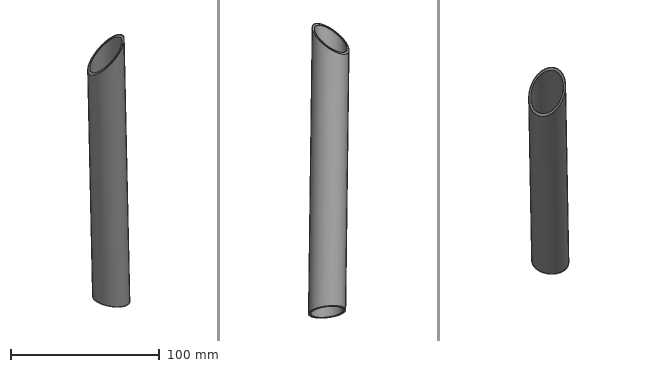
import cadquery as cq
import math

OUTER_DIAMETER = 25.0
WALL = 1.5
INNER_DIAMETER = OUTER_DIAMETER - 2 * WALL

LEAN_SLOPE = 0.02
LEAN_ANGLE = math.degrees(math.atan(LEAN_SLOPE))

OVERALL_HEIGHT = 200.67
TOP_CUT_ANGLE = 45.0
BOTTOM_CUT_ANGLE = 10.0


def back_wall_y(z):
    """Y of the outermost back wall (+Y) at height z."""
    half_width = OUTER_DIAMETER / 2 / math.cos(math.radians(LEAN_ANGLE))
    return half_width - LEAN_SLOPE * z


def leaning_cylinder(diameter):
    """Cylinder along the leaning axis, long enough to pass both cut ends."""
    overrun = OUTER_DIAMETER
    return (
        cq.Workplane("XY")
        .workplane(offset=-overrun)
        .circle(diameter / 2)
        .extrude(OVERALL_HEIGHT + 2 * overrun)
        .rotate((0, 0, 0), (1, 0, 0), LEAN_ANGLE)
    )


def envelope():
    """Block between the two cut planes; both start at the back wall and converge toward the front."""
    back = 2 * OUTER_DIAMETER
    front = -back
    top_slope = math.tan(math.radians(TOP_CUT_ANGLE))
    bottom_slope = math.tan(math.radians(BOTTOM_CUT_ANGLE))
    top_tip_y = back_wall_y(OVERALL_HEIGHT)
    bottom_tip_y = back_wall_y(0)

    def top_z(y):
        return OVERALL_HEIGHT + top_slope * (y - top_tip_y)

    def bottom_z(y):
        return bottom_slope * (bottom_tip_y - y)

    outline = [
        (front, bottom_z(front)),
        (back, bottom_z(back)),
        (back, top_z(back)),
        (front, top_z(front)),
    ]
    return cq.Workplane("YZ").polyline(outline).close().extrude(OUTER_DIAMETER, both=True)


tube = leaning_cylinder(OUTER_DIAMETER).cut(leaning_cylinder(INNER_DIAMETER))
result = tube.intersect(envelope())